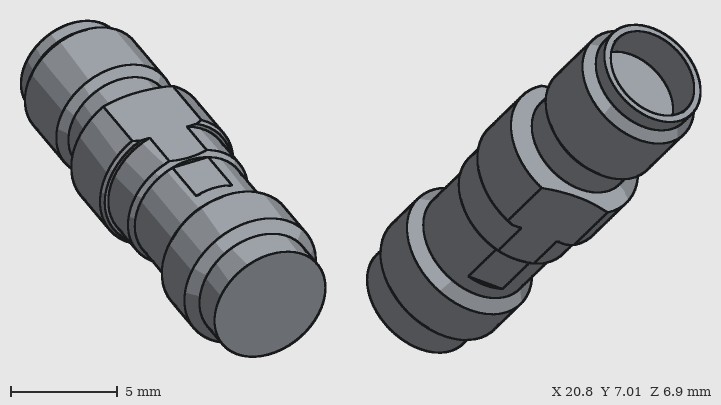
import cadquery as cq

total_length = 20.75

sleeve_radius = 5.31 / 2
front_ring_radius = 6.16 / 2
front_ring_start, front_ring_full = 0.77, 1.27
front_ring_full_end = 4.55
front_ring_end = front_ring_full_end + front_ring_radius - sleeve_radius

socket_radius = 4.6 / 2
socket_depth = 1.89

nut_radius = 7.01 / 2
nut_start, nut_full = 6.47, 6.95
nut_end = 10.13
nut_rear_chamfer = 0.17

collar_radius = 6.3 / 2
collar_bevel_start = 12.18
rear_radius = 5.83 / 2
collar_end = collar_bevel_start + collar_radius - rear_radius

rear_ring_radius = 6.9 / 2
rear_ring_start, rear_ring_full = 15.73, 16.3
rear_ring_full_end, rear_ring_end = 18.68, 19.17

wrench_flat_height = 6.0 / 2
body_flat_height = 2.75
body_flat_end = 14.9


def turned_body():
    profile = [
        (0, 0),
        (0, sleeve_radius),
        (front_ring_start, sleeve_radius),
        (front_ring_full, front_ring_radius),
        (front_ring_full_end, front_ring_radius),
        (front_ring_end, sleeve_radius),
        (nut_start, sleeve_radius),
        (nut_full, nut_radius),
        (nut_end - nut_rear_chamfer, nut_radius),
        (nut_end, nut_radius - nut_rear_chamfer),
        (nut_end, collar_radius),
        (collar_bevel_start, collar_radius),
        (collar_end, rear_radius),
        (rear_ring_start, rear_radius),
        (rear_ring_full, rear_ring_radius),
        (rear_ring_full_end, rear_ring_radius),
        (rear_ring_end, rear_radius),
        (total_length, rear_radius),
        (total_length, 0),
    ]
    return cq.Workplane("XY").polyline(profile).close().revolve(360, (0, 0, 0), (1, 0, 0))


def socket():
    return cq.Workplane("YZ").circle(socket_radius).extrude(socket_depth)


def flat_cutter(start, end, height, side):
    """Block that removes everything farther than height from the axis, above (1) or below (-1)."""
    block_width = 2 * nut_radius
    block = cq.Workplane("XY").box(end - start, block_width, nut_radius, centered=(False, True, False))
    block = block.translate((start, 0, height))
    return block if side > 0 else block.mirror("XY")


result = turned_body().cut(socket())
for side in (1, -1):
    result = result.cut(flat_cutter(nut_start, collar_end, wrench_flat_height, side))
    result = result.cut(flat_cutter(collar_end, body_flat_end, body_flat_height, side))